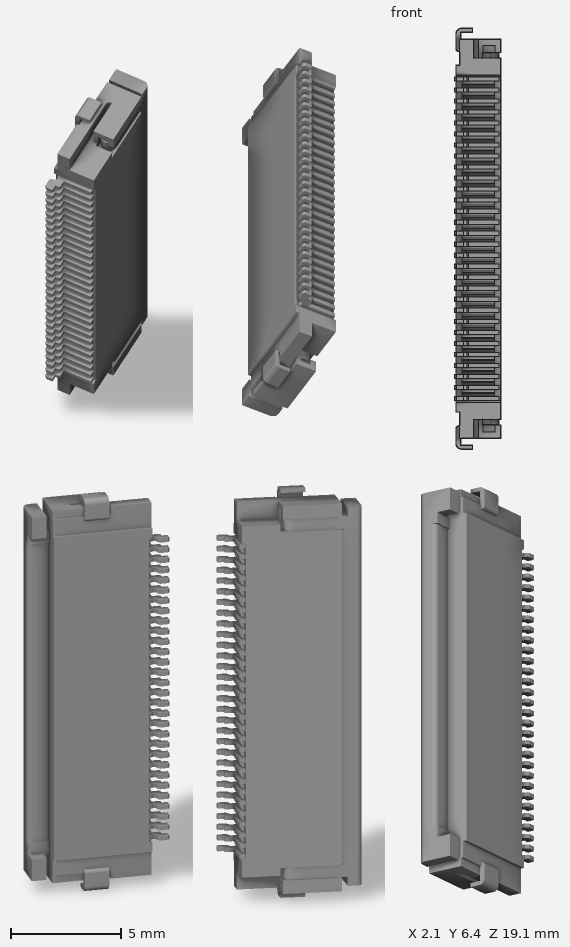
import cadquery as cq

HALF_LENGTH = 9.55

HEIGHT = 2.05
DEPTH = 4.62
BODY_END = 9.05
STEP = 0.17
STEP_Z = 7.87

CONTACT_COUNT = 30
CONTACT_SPAN = 14.5
PITCH = CONTACT_SPAN / (CONTACT_COUNT - 1)
CONTACT_WIDTH = 0.2
LEAD_DROP = 0.05
LEAD_REACH = 0.8
LEAD_FOOT_TOP = 0.35
LEAD_TOP = 1.95
LEAD_PLATE = 0.11

RECESS_DEPTH = 0.17
RECESS_FLOOR_END = 7.33
RECESS_RIM_END = 7.43
RIDGE_X0 = 0.29
RIDGE_X1 = 1.75
RIDGE_TIP_WIDTH = 0.05

SHELF_Z = 8.2
SHELF_X = 0.8
LUG_Y = 1.9
LUG_X = 1.03
LUG_Z = 8.45
SLIT_END_Y = 3.69
SLIT_RADIUS = 0.2
WELL_X = 1.2
WELL_Y = 1.78
WELL_FLOOR = 7.83
LUG_POCKET_X0 = 1.25
LUG_POCKET_X1 = 1.78
LUG_POCKET_Z = 8.77
LUG_POCKET_DEPTH = 0.2

CLIP_Y0 = 2.02
CLIP_Y1 = 3.17
CLIP_THICKNESS = 0.23
CLIP_FOOT_THICKNESS = 0.2
CLIP_FOOT_X = 0.76
CLIP_BASE_Z = 8.65
CLIP_BEND_RADIUS = 0.27
CLIP_TIP_RADIUS = 0.15
CLIP_GROOVE_X = 0.29

FLAP_X0 = 0.92
FLAP_X1 = 1.95
FLAP_REAR = 5.6
FLAP_BAR_END = 7.8
FLAP_TOP_RADIUS = 0.29
FLAP_EDGE_RADIUS = 0.23
FLAP_EDGE_END = 7.28
FLAP_PANEL_STEP = 0.1
TAB_X0 = 0.23
TAB_Y0 = 4.9
TAB_END = 8.85
ARM_END = 8.42
ARM_FRONT = 1.99
ARM_RADIUS = 0.36
NECK_FRONT = 4.72


def box(x0, x1, y0, y1, z0, z1):
    """Block between two opposite corners."""
    return cq.Workplane("XY").box(x1 - x0, y1 - y0, z1 - z0, centered=False).translate((x0, y0, z0))


def mirrored(solid):
    """The solid together with its mirror image at the other end of the row."""
    return solid.union(solid.mirror("XY"))


def make_housing():
    middle = box(0, HEIGHT, 0, DEPTH, -STEP_Z, STEP_Z)
    whole = box(STEP, HEIGHT, 0, DEPTH, -BODY_END, BODY_END)
    recess = (
        cq.Workplane("YZ")
        .polyline([
            (0, -RECESS_RIM_END),
            (RECESS_DEPTH, -RECESS_FLOOR_END),
            (RECESS_DEPTH, RECESS_FLOOR_END),
            (0, RECESS_RIM_END),
        ])
        .close()
        .extrude(HEIGHT)
    )
    return middle.union(whole).cut(recess)


def make_end_cuts():
    """Shelf, slit, lug undercut, lug pocket and clip groove of the upper end."""
    shelf = box(SHELF_X, HEIGHT, 0, LUG_Y, SHELF_Z, BODY_END)
    slit = box(SHELF_X, LUG_X, 0, SLIT_END_Y, SHELF_Z, BODY_END)
    slit = slit.edges("|Z and >Y and <X").fillet(SLIT_RADIUS)
    well = box(WELL_X, HEIGHT, WELL_Y, DEPTH, WELL_FLOOR, LUG_Z)
    lug_pocket = box(LUG_POCKET_X0, LUG_POCKET_X1, LUG_Y, LUG_Y + LUG_POCKET_DEPTH, LUG_Z, LUG_POCKET_Z)
    clip_groove = box(STEP, CLIP_GROOVE_X, LUG_Y, DEPTH, CLIP_BASE_Z, BODY_END)
    return shelf.union(slit).union(well).union(lug_pocket).union(clip_groove)


def make_clip():
    """L-shaped strap with a rounded bend, lying on the board side of the upper end."""
    strap = box(0, CLIP_THICKNESS, CLIP_Y0, CLIP_Y1, CLIP_BASE_Z - STEP, HALF_LENGTH)
    strap = strap.edges("|Y and <X").edges("<Z").fillet(CLIP_TIP_RADIUS)
    foot = box(0, CLIP_FOOT_X, CLIP_Y0, CLIP_Y1, HALF_LENGTH - CLIP_FOOT_THICKNESS, HALF_LENGTH)
    return strap.union(foot).edges("|Y and <X").edges(">Z").fillet(CLIP_BEND_RADIUS)


def make_contact():
    """Flat contact with a cranked solder lead, centred on Z = 0."""
    crank_x = 0.23
    crank_y = -0.2
    bend_y = -0.29
    shin_y = -0.35
    toe_bevel = 0.1
    heel_x = 0.57
    heel_y = -0.52
    bevel = 0.05
    return (
        cq.Workplane("XY")
        .polyline([
            (STEP, RECESS_DEPTH),
            (STEP, 0),
            (crank_x, -bevel),
            (crank_x, crank_y),
            (0, bend_y),
            (-LEAD_DROP, shin_y),
            (-LEAD_DROP, toe_bevel - LEAD_REACH),
            (toe_bevel - LEAD_DROP, -LEAD_REACH),
            (LEAD_FOOT_TOP, -LEAD_REACH),
            (LEAD_FOOT_TOP, heel_y),
            (heel_x - bevel, heel_y),
            (heel_x, heel_y + bevel),
            (heel_x, -LEAD_PLATE),
            (LEAD_TOP, -LEAD_PLATE),
            (LEAD_TOP, RECESS_DEPTH),
        ])
        .close()
        .extrude(CONTACT_WIDTH / 2, both=True)
    )


def make_ridge():
    """Tapered ridge that separates two contacts, centred on Z = 0."""
    half_base = (PITCH - CONTACT_WIDTH) / 2
    half_tip = RIDGE_TIP_WIDTH / 2
    return (
        cq.Workplane("YZ", origin=(RIDGE_X0, 0, 0))
        .polyline([(RECESS_DEPTH, -half_base), (0, -half_tip), (0, half_tip), (RECESS_DEPTH, half_base)])
        .close()
        .extrude(RIDGE_X1 - RIDGE_X0)
    )


def copies_along_row(solid, count):
    """Evenly pitched copies of a solid, centred on Z = 0."""
    first_z = -PITCH * (count - 1) / 2
    return [solid.translate((0, 0, first_z + i * PITCH)).val() for i in range(count)]


def make_flap():
    bar = box(FLAP_X0, FLAP_X1, DEPTH, FLAP_REAR, -FLAP_BAR_END, FLAP_BAR_END)
    tabs = mirrored(box(TAB_X0, FLAP_X1, TAB_Y0, FLAP_REAR, FLAP_BAR_END, TAB_END))
    flap = bar.union(tabs).edges("|Z and >X and >Y").fillet(FLAP_TOP_RADIUS)
    panel_x = FLAP_X0 + FLAP_PANEL_STEP
    clearance = box(FLAP_X0, FLAP_X1, DEPTH, FLAP_REAR, -FLAP_EDGE_END, FLAP_EDGE_END)
    panel = box(panel_x, FLAP_X1, DEPTH, FLAP_REAR, -FLAP_EDGE_END, FLAP_EDGE_END)
    panel = panel.edges("|Z and <X and >Y").fillet(FLAP_EDGE_RADIUS)
    panel = panel.edges("|Z and >X and >Y").fillet(FLAP_TOP_RADIUS)
    return flap.cut(clearance).union(panel)


def make_flap_arm():
    """Hinge arm that reaches from the flap into the well under the lug of the upper end."""
    neck = box(FLAP_X0, FLAP_X1, NECK_FRONT, TAB_Y0, FLAP_BAR_END, ARM_END)
    arm = box(WELL_X, FLAP_X1, ARM_FRONT, TAB_Y0, WELL_FLOOR, ARM_END)
    arm = arm.edges("|Z and <Y").fillet(ARM_RADIUS)
    return neck.union(arm)


housing = make_housing().cut(mirrored(make_end_cuts()))
contacts = copies_along_row(make_contact(), CONTACT_COUNT)
ridges = copies_along_row(make_ridge(), CONTACT_COUNT - 1)
ends = mirrored(make_clip().union(make_flap_arm()))

result = housing.union(make_flap()).union(ends)
result = cq.Workplane(result.val().fuse(*contacts, *ridges).clean())